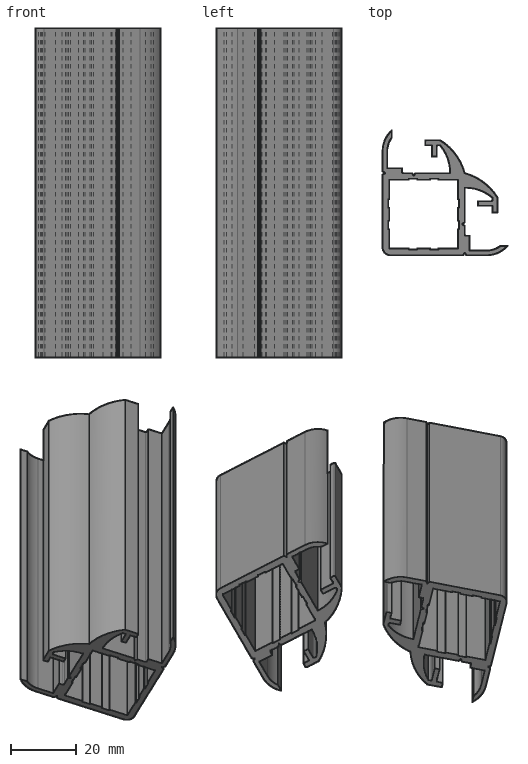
import cadquery as cq
import math

length = 100
overall_side = 38

tube_side = 25
tube_wall = 2.1
corner_radius = 2.5
relief_width = 2.5
relief_depth = 0.3
relief_spacing = 6.5

wing_wall = 1.5
wing_tip_height = 2.9
wing_curl_radius = 8.5
step_height = 6

small_radius = 0.3

groove_half_width = 0.5
groove_depth = 0.8
wall_groove_offset = 9.5

arm_reach = 35
arm_shoulder = 17.5
arm_root = 20.5
arm_outer_radius = 17
arm_inner_radius = 12.5
hook_wall = 1.6
hook_end = 13
finger_bottom = 15
finger_wall = 1.5
lower_finger_length = 4.4
upper_finger_length = 3.4

pick_margin = 0.1

diagonal_normal = cq.Vector(1, -1, 0)


def curl_run(radius, height):
    """Horizontal run of an arc that leaves a flat face tangentially and rises by height."""
    return math.sqrt(radius**2 - (radius - height) ** 2)


def half_profile():
    """Solid outline on the +X side of the diagonal, without grooves or tube bore."""
    step_face = tube_side + wing_wall
    hook_inner = arm_reach - hook_wall
    curl_start = overall_side - curl_run(wing_curl_radius, wing_tip_height)
    inner_curl_radius = wing_curl_radius - wing_wall
    inner_curl_end = curl_start + curl_run(inner_curl_radius, wing_tip_height - wing_wall)
    return (
        cq.Workplane("XY")
        .lineTo(curl_start, 0)
        .radiusArc((overall_side, wing_tip_height), -wing_curl_radius)
        .lineTo(inner_curl_end, wing_tip_height)
        .radiusArc((curl_start, wing_wall), inner_curl_radius)
        .lineTo(step_face, wing_wall)
        .lineTo(step_face, step_height)
        .lineTo(tube_side + small_radius, step_height)
        .radiusArc((tube_side, step_height + small_radius), small_radius)
        .lineTo(tube_side, arm_root)
        .radiusArc((hook_inner, arm_shoulder), arm_inner_radius)
        .lineTo(hook_inner, hook_end)
        .lineTo(arm_reach - small_radius, hook_end)
        .radiusArc((arm_reach, hook_end + small_radius), -small_radius)
        .lineTo(arm_reach, arm_shoulder)
        .radiusArc((tube_side, tube_side), -arm_outer_radius)
        .close()
        .extrude(length)
    )


def finger(finger_length):
    """Short rib that points from the hook back toward the tube."""
    hook_inner = arm_reach - hook_wall
    return (
        cq.Workplane("XY")
        .moveTo(hook_inner - finger_length, finger_bottom)
        .lineTo(arm_reach, finger_bottom)
        .lineTo(arm_reach, finger_bottom + finger_wall)
        .lineTo(hook_inner - finger_length, finger_bottom + finger_wall)
        .close()
        .extrude(length)
    )


def face_groove():
    """V groove in the outer face, where the wing meets the tube."""
    return (
        cq.Workplane("XY")
        .moveTo(tube_side - groove_half_width, 0)
        .lineTo(tube_side, groove_depth)
        .lineTo(tube_side + groove_half_width, 0)
        .close()
        .extrude(length)
    )


def wall_groove():
    """V groove in the tube wall, facing the hook."""
    return (
        cq.Workplane("XY")
        .moveTo(tube_side, wall_groove_offset - groove_half_width)
        .lineTo(tube_side - groove_depth, wall_groove_offset)
        .lineTo(tube_side, wall_groove_offset + groove_half_width)
        .close()
        .extrude(length)
    )


def tube_bore():
    """Square bore with two shallow relief channels in each of its four walls."""
    bore_side = tube_side - 2 * tube_wall
    relief_span = bore_side + 2 * relief_depth
    centre = tube_side / 2
    middle = cq.Workplane("XY").center(centre, centre)
    bore = middle.rect(bore_side, bore_side).extrude(length)
    for offset in (-relief_spacing / 2, relief_spacing / 2):
        across_y = middle.center(offset, 0).rect(relief_width, relief_span).extrude(length)
        across_x = middle.center(0, offset).rect(relief_span, relief_width).extrude(length)
        bore = bore.union(across_y).union(across_x)
    return bore


def round_edge(body, corner, radius):
    """Fillet the single lengthwise edge that passes through the given XY corner."""
    x, y = corner
    lower = (x - pick_margin, y - pick_margin, 0)
    upper = (x + pick_margin, y + pick_margin, length)
    edge = body.edges("|Z").edges(cq.selectors.BoxSelector(lower, upper))
    return edge.fillet(radius)


def half_body(finger_length):
    """Everything on the +X side of the diagonal except the tube bore."""
    outline = half_profile().union(finger(finger_length))
    pocket_corner = (arm_reach - hook_wall, finger_bottom + finger_wall)
    outline = round_edge(outline, pocket_corner, small_radius)
    return outline.cut(face_groove()).cut(wall_groove())


lower_half = half_body(lower_finger_length)
upper_half = half_body(upper_finger_length).mirror(diagonal_normal)
body = lower_half.union(upper_half).clean()
body = round_edge(body, (0, 0), corner_radius)
result = body.cut(tube_bore())